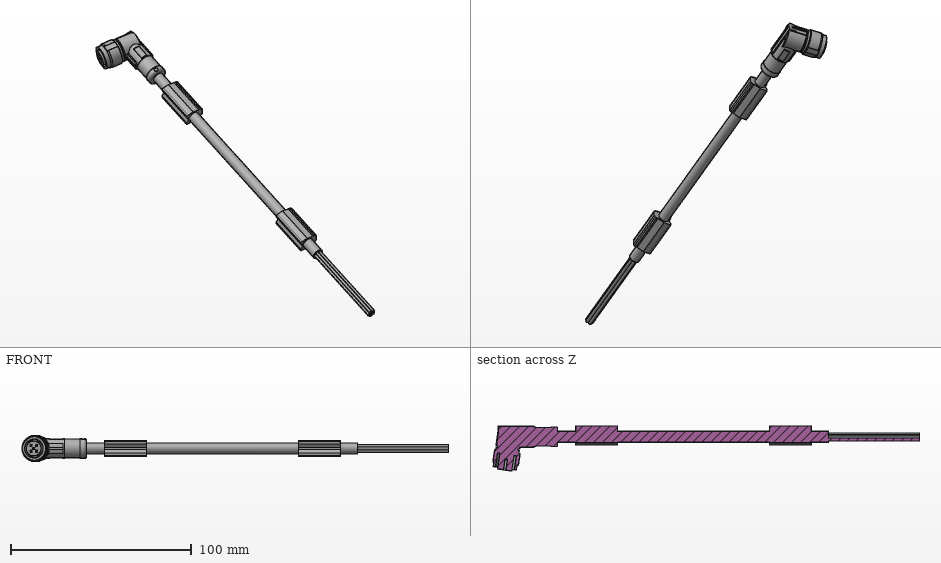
import cadquery as cq
import math


PLUG_TILT = 8.5
BODY_R = 6.5
BODY_BACK = 4.3
BODY_FRONT = 5.9
GROOVE_R = 5.9
GROOVE_END = 6.7
COLLAR_R = 6.6
COLLAR_END = 8.0
NUT_R = 7.2
NUT_START = 8.4
NUT_END = 14.3
NUT_TAPER_R = 6.9
RIM_START = 15.2
RIM_END = 17.7
SOCKET_R = 5.2
SOCKET_FLOOR = 10.0
INSERT_R = 4.1
INSERT_END = 18.67
PIN_HOLE_R = 0.6
PIN_CIRCLE_R = 2.2
PIN_COUNT = 4
PIN_START_ANGLE = 45.0
PIN_DEPTH = 6.0
GRIP_WIDTH = 3.5
GRIP_Z = 7.2

STRAP_WIDTH = 5.4
STRAP_R = 6.1
STRAP_START = -6.3
STRAP_END = 13.4
STRAP_PROUD = 0.35
SEAM_WIDTH = 0.9
SEAM_DEPTH = 0.25

ARM_R = 5.25
ARM_COLLAR_R = 5.45
ARM_COLLAR_END = 14.4
ARM_END = 23.0
CAP_R = 5.45
CAP_ROUND_START = 25.7
CAP_END = 26.6
CAP_END_R = 4.6
PAD_START = 6.0
PAD_END = 13.6
PAD_WIDTH = 3.6
PAD_Z = 4.9
DIMPLE_X = 24.7
DIMPLE_R = 1.1
DIMPLE_DEPTH = 0.4

JACKET_R = 3.1
JACKET_END = 176.6
WIRE_COUNT = 5
WIRE_BUNDLE_R = 2.4
WIRE_END = 226.93
WIRE_OVERLAP = 2.0

SLEEVE_LENGTH = 23.2
SLEEVE_STARTS = (36.6, 143.8)
SLEEVE_PEAK_Z = 4.5
SLEEVE_PEAK_Y = -0.3
SLEEVE_BACK_Y = 6.0
BACK_FLAT_Z = 2.0
BACK_BEVEL_Y = 5.3
BACK_BEVEL_Z = 2.8
LEDGE_BACK_Y = 4.4
LEDGE_FRONT_Y = 3.6
LEDGE_Z = 3.2
FLANK_MID_Y = -2.0
FLANK_MID_Z = 4.3
SLEEVE_LIP_Y = -4.7
LIP_OUTER_Z = 3.8
LIP_INNER_Z = 2.45
LIP_SHOULDER_Y = -3.6
LIP_SHOULDER_Z = 3.9
SLOT_FLOOR_Z = 0.5
SLOT_FLOOR_Y = -3.4


def rod(start, end, radius):
    """Cylinder along X."""
    return (
        cq.Workplane("XZ")
        .moveTo(start, 0)
        .lineTo(start, radius)
        .lineTo(end, radius)
        .lineTo(end, 0)
        .close()
        .revolve(360, (0, 0, 0), (1, 0, 0))
    )


def block(x_range, y_range, z_range):
    """Box between the given limits."""
    (x0, x1), (y0, y1), (z0, z1) = x_range, y_range, z_range
    return cq.Workplane("XY").box(x1 - x0, y1 - y0, z1 - z0, centered=False).translate((x0, y0, z0))


def plug_head():
    """Body, coupling nut and socket, turned about the plug axis."""
    profile = [
        (0, BODY_BACK),
        (-BODY_R, BODY_BACK),
        (-BODY_R, -BODY_FRONT),
        (-GROOVE_R, -BODY_FRONT),
        (-GROOVE_R, -GROOVE_END),
        (-COLLAR_R, -GROOVE_END),
        (-COLLAR_R, -COLLAR_END),
        (-NUT_R, -NUT_START),
        (-NUT_R, -NUT_END),
        (-NUT_TAPER_R, -RIM_START),
        (-COLLAR_R, -RIM_START),
        (-COLLAR_R, -RIM_END),
        (-SOCKET_R, -RIM_END),
        (-SOCKET_R, -SOCKET_FLOOR),
        (-INSERT_R, -SOCKET_FLOOR),
        (-INSERT_R, -INSERT_END),
        (0, -INSERT_END),
    ]
    head = cq.Workplane("XY").polyline(profile).close().revolve(360, (0, 0, 0), (0, 1, 0))

    half_strap = STRAP_WIDTH / 2
    strap_x = BODY_R + STRAP_PROUD
    strap_box = block((-strap_x, 0), (-BODY_FRONT, BODY_BACK), (-half_strap, half_strap))
    strap = (
        cq.Workplane("XZ", origin=(0, BODY_BACK, 0))
        .circle(strap_x)
        .extrude(BODY_BACK + BODY_FRONT)
    )
    half_seam = SEAM_WIDTH / 2
    seam_x = (-strap_x, SEAM_DEPTH - strap_x)
    seam = block(seam_x, (-BODY_FRONT, BODY_BACK), (-half_seam, half_seam))
    head = head.union(strap.intersect(strap_box).cut(seam))

    pin_holes = (
        cq.Workplane("XZ", origin=(0, -INSERT_END, 0))
        .polarArray(PIN_CIRCLE_R, PIN_START_ANGLE, 360, PIN_COUNT)
        .circle(PIN_HOLE_R)
        .extrude(-PIN_DEPTH)
    )
    centre_hole = cq.Workplane("XZ", origin=(0, -INSERT_END, 0)).circle(PIN_HOLE_R).extrude(-PIN_DEPTH)
    head = head.cut(pin_holes).cut(centre_hole)

    half_grip = GRIP_WIDTH / 2
    for z_range in ((COLLAR_R, GRIP_Z), (-GRIP_Z, -COLLAR_R)):
        head = head.union(block((-half_grip, half_grip), (-RIM_START, -NUT_START), z_range))
    return head.rotate((0, 0, 0), (0, 0, 1), -PLUG_TILT)


def arm():
    """Stepped arm with a flat pad above and below and a strap along its front and back."""
    collar = rod(0, ARM_COLLAR_END, ARM_COLLAR_R)
    half_pad = PAD_WIDTH / 2
    for z_range in ((PAD_Z, ARM_COLLAR_R), (-ARM_COLLAR_R, -PAD_Z)):
        collar = collar.cut(block((PAD_START, PAD_END), (-half_pad, half_pad), z_range))

    half_strap = STRAP_WIDTH / 2
    half_seam = SEAM_WIDTH / 2
    strap = rod(STRAP_START, STRAP_END, STRAP_R)
    strap_box = block((STRAP_START, STRAP_END), (-STRAP_R, STRAP_R), (-half_strap, half_strap))
    strap = strap.intersect(strap_box)
    strap = strap.cut(block((STRAP_START, 0), (-STRAP_R, 0), (-half_strap, half_strap)))
    seam_floor = STRAP_R - SEAM_DEPTH
    for y_range in ((-STRAP_R, -seam_floor), (seam_floor, STRAP_R)):
        strap = strap.cut(block((STRAP_START, STRAP_END), y_range, (-half_seam, half_seam)))

    cap = (
        cq.Workplane("XZ")
        .moveTo(ARM_END, 0)
        .lineTo(ARM_END, CAP_R)
        .lineTo(CAP_ROUND_START, CAP_R)
        .tangentArcPoint((CAP_END, CAP_END_R), relative=False)
        .lineTo(CAP_END, 0)
        .close()
        .revolve(360, (0, 0, 0), (1, 0, 0))
    )
    dimple = (
        cq.Workplane("XY", origin=(DIMPLE_X, 0, CAP_R - DIMPLE_DEPTH))
        .circle(DIMPLE_R)
        .extrude(2 * DIMPLE_DEPTH)
    )
    return collar.union(strap).union(rod(ARM_COLLAR_END, ARM_END, ARM_R)).union(cap.cut(dimple))


def cable():
    """Jacket with the bare wires standing out of its end."""
    spread = math.sin(math.pi / WIRE_COUNT)
    wire_circle_r = WIRE_BUNDLE_R / (1 + spread)
    wire_r = WIRE_BUNDLE_R - wire_circle_r
    wire = rod(JACKET_END - WIRE_OVERLAP, WIRE_END, wire_r)
    whole = rod(0, JACKET_END, JACKET_R)
    for i in range(WIRE_COUNT):
        angle = math.pi + 2 * math.pi * i / WIRE_COUNT
        y = wire_circle_r * math.cos(angle)
        z = wire_circle_r * math.sin(angle)
        whole = whole.union(wire.translate((0, y, z)))
    return whole


def sleeve(start):
    """Marker sleeve: bevelled back, round flanks and two lips beside a tapered slot."""
    return (
        cq.Workplane("YZ", origin=(start, 0, 0))
        .moveTo(SLEEVE_BACK_Y, BACK_FLAT_Z)
        .lineTo(BACK_BEVEL_Y, BACK_BEVEL_Z)
        .lineTo(LEDGE_BACK_Y, LEDGE_Z)
        .lineTo(LEDGE_FRONT_Y, LEDGE_Z)
        .lineTo(SLEEVE_PEAK_Y, SLEEVE_PEAK_Z)
        .threePointArc((FLANK_MID_Y, FLANK_MID_Z), (LIP_SHOULDER_Y, LIP_SHOULDER_Z))
        .lineTo(SLEEVE_LIP_Y, LIP_OUTER_Z)
        .lineTo(SLEEVE_LIP_Y, LIP_INNER_Z)
        .lineTo(SLOT_FLOOR_Y, SLOT_FLOOR_Z)
        .lineTo(SLOT_FLOOR_Y, 0)
        .lineTo(SLEEVE_BACK_Y, 0)
        .close()
        .extrude(SLEEVE_LENGTH)
    )


result = plug_head().union(arm()).union(cable())
for sleeve_start in SLEEVE_STARTS:
    half = sleeve(sleeve_start)
    result = result.union(half).union(half.mirror("XY"))